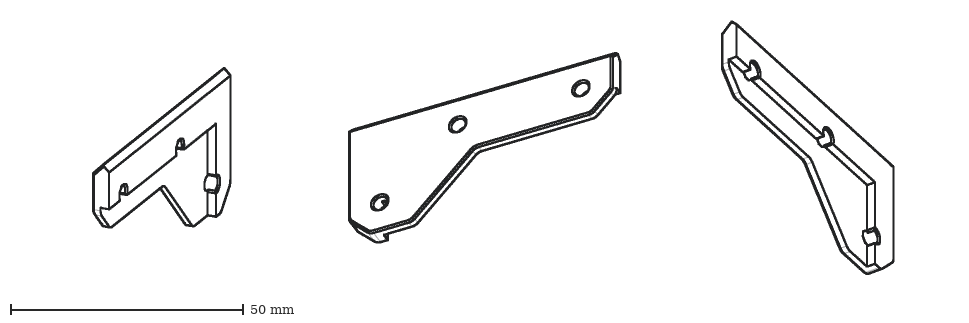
import cadquery as cq

thickness = 4.0
length = 63.0
height = 31.5
half_length = length / 2

corner_cut = 5.0
arm_bottom = 15.0
foot_inner_y = 16.42
corner_radius = 2.0

ridge_x = 2.5
front_slope_base = height - ridge_x
back_slope_base = height - (thickness - ridge_x)

relief_depth = 2.0
relief_wall_y = 24.0
relief_ceiling_z = 21.5

hole_diameter = 3.4
hole_centres = [(relief_wall_y, 7.5), (5.4, 22.5), (-24.0, 22.5)]

edge_chamfer = 0.4
tiny = 0.01


def make_outline_plate():
    outline = [
        (-half_length, height),
        (half_length, height),
        (half_length, corner_cut),
        (half_length - corner_cut, 0),
        (foot_inner_y, 0),
        (foot_inner_y - arm_bottom, arm_bottom),
        (-half_length + corner_cut, arm_bottom),
        (-half_length, arm_bottom + corner_cut),
    ]
    plate = cq.Workplane("YZ").polyline(outline).close().extrude(thickness)
    below_top = cq.selectors.BoxSelector(
        (-tiny, -length, -tiny), (thickness + tiny, length, front_slope_base)
    )
    return plate.edges("|X").edges(below_top).fillet(corner_radius)


def make_roof_envelope():
    section = [
        (0, 0),
        (thickness, 0),
        (thickness, back_slope_base),
        (ridge_x, height),
        (0, front_slope_base),
    ]
    return cq.Workplane("XZ").polyline(section).close().extrude(half_length, both=True)


def chamfer_front_edges(plate):
    """Chamfer the -X outline and the -Y end of the slope above it; the slope's foot stays sharp."""
    outline_box = cq.selectors.BoxSelector(
        (-tiny, -length, -tiny), (tiny, length, front_slope_base - tiny)
    )
    slope_end_box = cq.selectors.BoxSelector(
        (tiny, -half_length - tiny, front_slope_base + tiny),
        (ridge_x - tiny, -half_length + tiny, height - tiny),
    )
    return plate.edges(outline_box + slope_end_box).chamfer(edge_chamfer)


def make_relief():
    """Box removed from the lower part of the +X side, open at the -Y end and the bottom."""
    relief_length = relief_wall_y + half_length
    corner = (thickness - relief_depth, -half_length, 0)
    return cq.Workplane("XY", origin=corner).box(
        relief_depth, relief_length, relief_ceiling_z, centered=False
    )


def drill_bore(plate, y, z):
    bore = cq.Workplane("YZ", origin=(0, y, z)).circle(hole_diameter / 2).extrude(thickness)
    return plate.cut(bore)


def chamfer_relief_openings(plate):
    """Bevel the edges along X where the bores break out of the relief's wall and ceiling."""
    wall_box = cq.selectors.BoxSelector(
        (0, relief_wall_y - tiny, tiny),
        (thickness, relief_wall_y + tiny, relief_ceiling_z - tiny),
    )
    ceiling_box = cq.selectors.BoxSelector(
        (0, -half_length + tiny, relief_ceiling_z - tiny),
        (thickness, relief_wall_y - tiny, relief_ceiling_z + tiny),
    )
    return plate.edges("|X").edges(wall_box + ceiling_box).chamfer(edge_chamfer)


def countersink_bore(plate, y, z):
    """Chamfer a bore at both plate faces."""
    bore_radius = hole_diameter / 2
    rim_radius = bore_radius + edge_chamfer
    for face_x, inward in ((0, 1), (thickness, -1)):
        cone = cq.Solid.makeCone(
            rim_radius,
            bore_radius,
            edge_chamfer,
            pnt=cq.Vector(face_x, y, z),
            dir=cq.Vector(inward, 0, 0),
        )
        plate = plate.cut(cq.Workplane(cone))
    return plate


result = make_outline_plate().intersect(make_roof_envelope())
result = chamfer_front_edges(result)
result = result.cut(make_relief())
for hole_y, hole_z in hole_centres:
    result = drill_bore(result, hole_y, hole_z)
result = chamfer_relief_openings(result)
for hole_y, hole_z in hole_centres:
    result = countersink_bore(result, hole_y, hole_z)